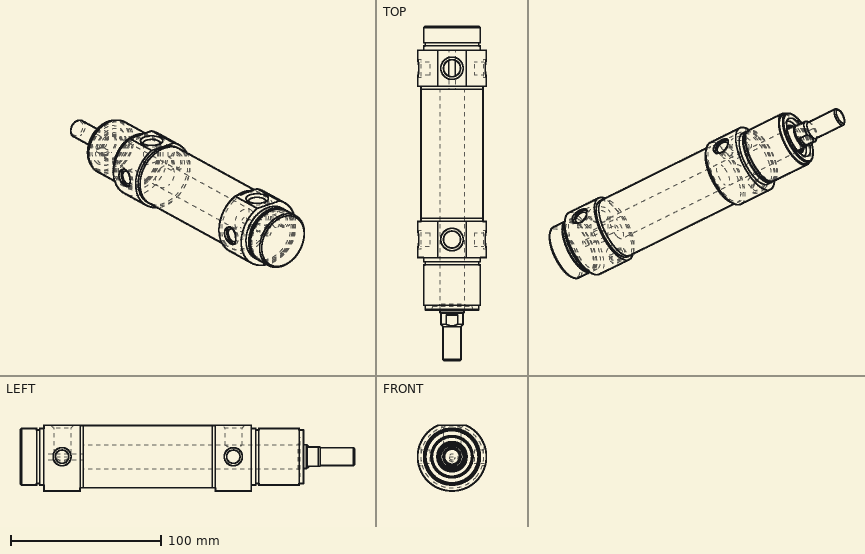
import cadquery as cq
import math

LENGTH = 223.0

COLLAR_DIA = 46.0
COLLAR_LENGTH = 24.0
FLAT_HEIGHT = 21.0
LIP_LENGTH = 2.0
THREAD_DIA = 38.0
GROOVE_DIA = 36.0
GROOVE_WIDTH = 2.0
SHOULDER_LENGTH = 3.0

COLLAR_STEP = 2.16
BARREL_DIA = COLLAR_DIA - 2 * COLLAR_STEP
BARREL_FRONT = 95.0
BARREL_REAR = 181.0

NOSE_FACE = 34.0
NOSE_LENGTH = 3.1
NOSE_CHAMFER = 0.55
RECESS_MOUTH_DIA = 28.0
RECESS_FLOOR_DIA = 26.0
RECESS_DEPTH = 2.7
SEAL_MOUTH_DIA = 20.0
SEAL_FLOOR_DIA = 18.0
SEAL_DEPTH = 0.7
CLEARANCE_DIA = 17.0
CLEARANCE_DEPTH = 1.0

REAR_CHAMFER = 1.0

PORT_MOUTH_DIA = 15.0
PORT_DIA = 11.4
PORT_FLOOR = 0.0
DRILL_TIP_ANGLE = 118.0

MOUNT_MOUTH_DIA = 12.0
MOUNT_MOUTH_DEPTH = 2.0
MOUNT_DIA = 9.0
MOUNT_DEPTH = 8.0

ROD_DIA = 16.0
ROD_STEP = 32.3
WRENCH_DIA = 15.0
WRENCH_WIDTH = 13.0
WRENCH_REAR = 30.5
ROD_SHOULDER = 23.0
THREAD_END_DIA = 12.0
ROD_TIP_DIA = 10.0
TAIL_DIA = 4.0

FRONT_COLLAR_REAR = BARREL_FRONT - LIP_LENGTH
FRONT_COLLAR_FRONT = FRONT_COLLAR_REAR - COLLAR_LENGTH
REAR_COLLAR_FRONT = BARREL_REAR + LIP_LENGTH
REAR_COLLAR_REAR = REAR_COLLAR_FRONT + COLLAR_LENGTH
RECESS_FLOOR = NOSE_FACE + RECESS_DEPTH
SEAL_FLOOR = RECESS_FLOOR + SEAL_DEPTH


def turned(points):
    """Solid of revolution about the Y axis from (diameter, Y) points; the axis closes the outline."""
    outline = [(0, points[0][1])]
    outline += [(diameter / 2, y) for diameter, y in points]
    outline += [(0, points[-1][1])]
    return cq.Workplane("XY").polyline(outline).close().revolve(360, (0, 0), (0, 1))


def collar_flat(y_start):
    """Block above the flat on top of a collar."""
    block = cq.Workplane("XY").box(COLLAR_DIA, COLLAR_LENGTH, COLLAR_DIA, centered=(True, False, False))
    return block.translate((0, y_start, FLAT_HEIGHT))


def port(y):
    """Countersunk port bore with a conical drill tip, drilled straight down."""
    radius = PORT_DIA / 2
    mouth = PORT_MOUTH_DIA / 2
    tip = radius / math.tan(math.radians(DRILL_TIP_ANGLE / 2))
    outline = [
        (0, PORT_FLOOR - tip),
        (radius, PORT_FLOOR),
        (radius, FLAT_HEIGHT - (mouth - radius)),
        (mouth, FLAT_HEIGHT),
        (0, FLAT_HEIGHT),
    ]
    return cq.Workplane("XZ").polyline(outline).close().revolve(360, (0, 0), (0, 1)).translate((0, y, 0))


def mounting_hole(y, side):
    """Counterbored blind hole going in from one side of a collar; side is -1 or +1 along X."""
    outer = COLLAR_DIA / 2
    radius = MOUNT_DIA / 2
    mouth = MOUNT_MOUTH_DIA / 2
    outline = [
        (side * (outer - MOUNT_DEPTH), 0),
        (side * (outer - MOUNT_DEPTH), radius),
        (side * (outer - MOUNT_MOUTH_DEPTH), radius),
        (side * (outer - MOUNT_MOUTH_DEPTH), mouth),
        (side * outer, mouth),
        (side * outer, 0),
    ]
    return cq.Workplane("XY").polyline(outline).close().revolve(360, (0, 0), (1, 0)).translate((0, y, 0))


def machine_collar(cap, y_start):
    """Cut the flat, the port and the two side holes of a collar."""
    y_port = y_start + COLLAR_LENGTH / 2
    cap = cap.cut(collar_flat(y_start)).cut(port(y_port))
    for side in (-1, 1):
        cap = cap.cut(mounting_hole(y_port, side))
    return cap


def make_rod():
    """Threaded rod end, wrench flats, plain rod and the thin tail crossing the rear port."""
    tip_chamfer = (THREAD_END_DIA - ROD_TIP_DIA) / 2
    shoulder_chamfer = (WRENCH_DIA - THREAD_END_DIA) / 2
    step_chamfer = (ROD_DIA - WRENCH_DIA) / 2
    rod = turned([
        (ROD_TIP_DIA, 0),
        (THREAD_END_DIA, tip_chamfer),
        (THREAD_END_DIA, ROD_SHOULDER),
        (WRENCH_DIA, ROD_SHOULDER + shoulder_chamfer),
        (WRENCH_DIA, ROD_STEP - step_chamfer),
        (ROD_DIA, ROD_STEP),
        (ROD_DIA, BARREL_REAR),
        (TAIL_DIA, BARREL_REAR),
        (TAIL_DIA, REAR_COLLAR_REAR),
    ])
    flat = WRENCH_WIDTH / 2
    rise = ROD_DIA - flat
    for side in (-1, 1):
        wedge = (
            cq.Workplane("YZ")
            .polyline([
                (0, side * flat),
                (WRENCH_REAR, side * flat),
                (WRENCH_REAR + rise, side * (flat + rise)),
                (0, side * (flat + rise)),
            ])
            .close()
            .extrude(ROD_DIA / 2, both=True)
        )
        rod = rod.cut(wedge)
    return rod


def make_barrel(rod):
    """Barrel between the two caps, bored to fit the rod."""
    return turned([(BARREL_DIA, BARREL_FRONT), (BARREL_DIA, BARREL_REAR)]).cut(rod)


def make_front_cap(rod):
    """Front cap with a grooved neck, a recessed nose and a collar, bored to fit the rod."""
    groove_rear = FRONT_COLLAR_FRONT - SHOULDER_LENGTH
    groove_front = groove_rear - GROOVE_WIDTH
    cap = turned([
        (GROOVE_DIA - 2 * NOSE_CHAMFER, NOSE_FACE),
        (GROOVE_DIA, NOSE_FACE + NOSE_CHAMFER),
        (GROOVE_DIA, NOSE_FACE + NOSE_LENGTH),
        (THREAD_DIA, NOSE_FACE + NOSE_LENGTH),
        (THREAD_DIA, groove_front),
        (GROOVE_DIA, groove_front),
        (GROOVE_DIA, groove_rear),
        (THREAD_DIA, groove_rear),
        (THREAD_DIA, FRONT_COLLAR_FRONT),
        (COLLAR_DIA, FRONT_COLLAR_FRONT),
        (COLLAR_DIA, FRONT_COLLAR_REAR),
        (BARREL_DIA, FRONT_COLLAR_REAR),
        (BARREL_DIA, BARREL_FRONT),
    ])
    recess = turned([
        (RECESS_MOUTH_DIA, NOSE_FACE),
        (RECESS_FLOOR_DIA, RECESS_FLOOR),
        (SEAL_MOUTH_DIA, RECESS_FLOOR),
        (SEAL_FLOOR_DIA, SEAL_FLOOR),
        (CLEARANCE_DIA, SEAL_FLOOR),
        (CLEARANCE_DIA, SEAL_FLOOR + CLEARANCE_DEPTH),
    ])
    return machine_collar(cap.cut(recess), FRONT_COLLAR_FRONT).cut(rod)


def make_rear_cap(rod):
    """Rear cap with a grooved neck and a collar, bored to fit the rod tail."""
    groove_front = REAR_COLLAR_REAR + SHOULDER_LENGTH
    groove_rear = groove_front + GROOVE_WIDTH
    cap = turned([
        (BARREL_DIA, BARREL_REAR),
        (BARREL_DIA, REAR_COLLAR_FRONT),
        (COLLAR_DIA, REAR_COLLAR_FRONT),
        (COLLAR_DIA, REAR_COLLAR_REAR),
        (THREAD_DIA, REAR_COLLAR_REAR),
        (THREAD_DIA, groove_front),
        (GROOVE_DIA, groove_front),
        (GROOVE_DIA, groove_rear),
        (THREAD_DIA, groove_rear),
        (THREAD_DIA, LENGTH - REAR_CHAMFER),
        (THREAD_DIA - 2 * REAR_CHAMFER, LENGTH),
    ])
    return machine_collar(cap, REAR_COLLAR_FRONT).cut(rod)


rod = make_rod()
barrel = make_barrel(rod)
front_cap = make_front_cap(rod)
rear_cap = make_rear_cap(rod)

result = cq.Compound.makeCompound([rod.val(), barrel.val(), front_cap.val(), rear_cap.val()])